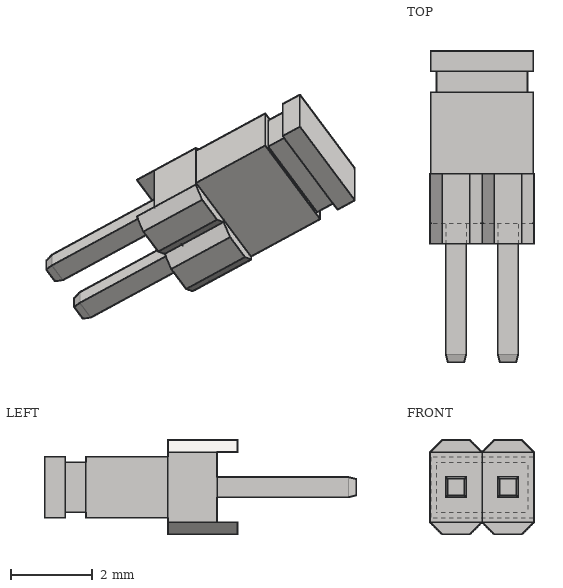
import cadquery as cq

overall_length = 7.6
cell_count = 2

cell_pitch = 1.27
cell_height = 2.3
cell_chamfer = 0.3
cell_depth = 1.2
lip_depth = 1.7
slot_height = cell_height - 2 * cell_chamfer

pin_width = 0.5
tip_width = 0.4
tip_length = 0.2

cap_width = 2.5
cap_height = 1.5
cap_body_length = 2.0
groove_length = 0.5
groove_depth = 0.14
head_length = 0.5

cap_length = cap_body_length + groove_length + head_length
pin_end = overall_length - cap_length


def block(width, length, height, y_start):
    """Box centred on X and Z that runs from y_start toward +Y."""
    return cq.Workplane("XY").box(width, length, height, centered=(True, False, True)).translate((0, y_start, 0))


def make_insulator():
    """Chamfered prism, cut back between its lips."""
    prism = block(cell_pitch, lip_depth, cell_height, -lip_depth).edges("|Y").chamfer(cell_chamfer)
    slot = block(cell_pitch, lip_depth - cell_depth, slot_height, -lip_depth)
    return prism.cut(slot)


def make_pin():
    """Square shank from the cell face, ending in a tapered tip."""
    taper_start = pin_end - tip_length
    shank = block(pin_width, taper_start - cell_depth, pin_width, -taper_start)
    tip = (
        cq.Workplane("XZ", origin=(0, -taper_start, 0))
        .rect(pin_width, pin_width)
        .workplane(offset=tip_length)
        .rect(tip_width, tip_width)
        .loft(ruled=True)
    )
    return shank.union(tip)


def make_header_cell(x_center):
    """One insulator with its pin, as a single solid."""
    return make_insulator().union(make_pin()).translate((x_center, 0, 0))


def make_jumper_cap():
    """Rectangular cap with a grip groove all round in front of its head."""
    groove_start = cap_body_length
    head_start = groove_start + groove_length
    body = block(cap_width, cap_body_length, cap_height, 0)
    neck = block(cap_width - 2 * groove_depth, groove_length, cap_height - 2 * groove_depth, groove_start)
    head = block(cap_width, head_length, cap_height, head_start)
    return body.union(neck).union(head)


jumper_cap = make_jumper_cap()

header_cells = []
for index in range(cell_count):
    cell_x = (index - (cell_count - 1) / 2) * cell_pitch
    header_cells.append(make_header_cell(cell_x))

result = cq.Compound.makeCompound([jumper_cap.val(), *[cell.val() for cell in header_cells]])